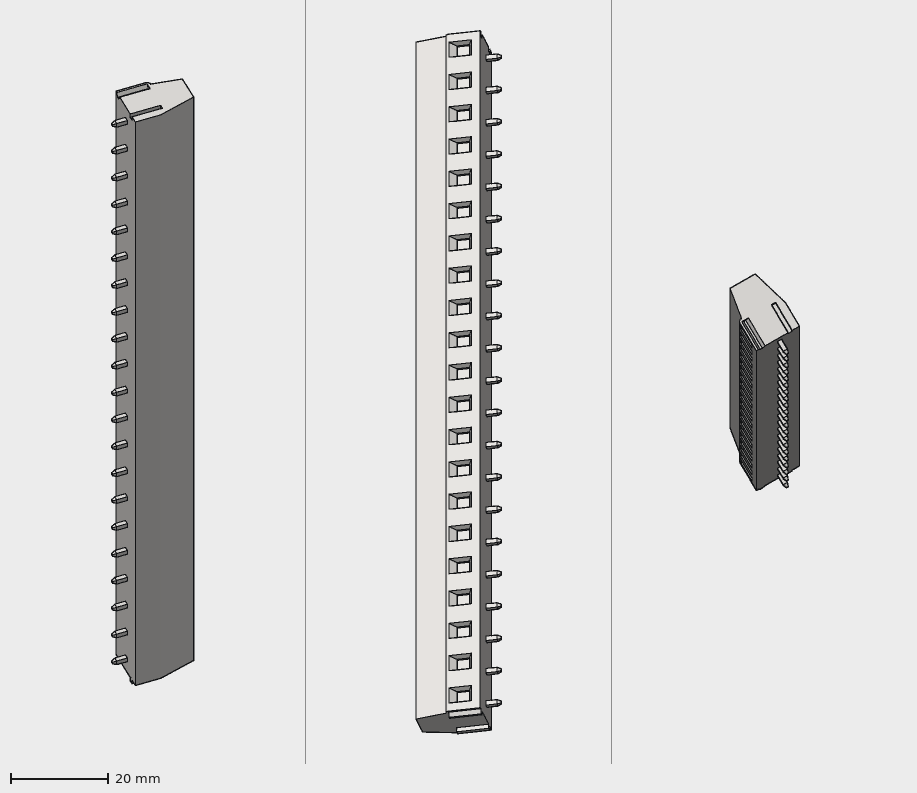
import cadquery as cq
import math


total_length = 158.1
rib_height = 1.0
body_length = total_length - rib_height
width = 10.3
depth = 14.0
back_left = 1.9
back_right = 7.9
right_side_depth = 5.7
entry_side_depth = 7.5
ledge_radius = 0.8

pole_count = 21
end_margin = 3.6
pitch = (body_length - 2 * end_margin) / (pole_count - 1)

entry_height = 3.5
entry_front = 1.9
entry_back = 6.6
pocket_height = 2.5
pocket_front = 2.5
pocket_back = 5.2
funnel_depth = 1.1
pocket_depth = 1.6

pin_x = 5.5
pin_size = 1.03
pin_tip_size = 0.5
pin_length = 3.2
pin_tip_length = 0.8
pin_root = 0.8

rib_length = 6.8
wedge_base_start = 0.5
wedge_base_end = 2.0
wedge_tip_start = 1.0
wedge_tip_end = 1.5
bar_start = 7.6
bar_width = 1.0


def make_body():
    arc_inset = ledge_radius * (1 - math.sqrt(0.5))
    return (
        cq.Workplane("XY")
        .moveTo(0, 0)
        .lineTo(width, 0)
        .lineTo(width, right_side_depth)
        .lineTo(back_right, depth)
        .lineTo(back_left, depth)
        .lineTo(ledge_radius, entry_side_depth)
        .threePointArc(
            (arc_inset, entry_side_depth - arc_inset),
            (0, entry_side_depth - ledge_radius),
        )
        .close()
        .extrude(body_length)
    )


def make_interlocks(base_z):
    """Tapered rib and straight bar hanging below the plane Z = base_z."""
    tip_z = base_z - rib_height
    wedge_outline = [
        (wedge_base_start, base_z),
        (wedge_base_end, base_z),
        (wedge_tip_end, tip_z),
        (wedge_tip_start, tip_z),
    ]
    wedge = cq.Workplane("XZ").polyline(wedge_outline).close().extrude(-rib_length)
    bar = cq.Workplane("XY").box(bar_width, rib_length, rib_height, centered=False)
    return wedge.union(bar.translate((bar_start, 0, tip_z)))


def make_entry(z):
    entry_y = (entry_front + entry_back) / 2
    pocket_y = (pocket_front + pocket_back) / 2
    funnel = (
        cq.Workplane("YZ")
        .center(entry_y, z)
        .rect(entry_back - entry_front, entry_height)
        .workplane(offset=funnel_depth)
        .center(pocket_y - entry_y, 0)
        .rect(pocket_back - pocket_front, pocket_height)
        .loft(ruled=True)
    )
    pocket = (
        cq.Workplane("YZ")
        .center(pocket_y, z)
        .rect(pocket_back - pocket_front, pocket_height)
        .extrude(pocket_depth)
    )
    return funnel.union(pocket)


def make_pin(z):
    shank_length = pin_length - pin_tip_length
    shank = (
        cq.Workplane("XZ", origin=(pin_x, pin_root, z))
        .rect(pin_size, pin_size)
        .extrude(pin_root + shank_length)
    )
    tip = (
        cq.Workplane("XZ", origin=(pin_x, -shank_length, z))
        .rect(pin_size, pin_size)
        .workplane(offset=pin_tip_length)
        .rect(pin_tip_size, pin_tip_size)
        .loft(ruled=True)
    )
    return shank.union(tip)


result = make_body().cut(make_interlocks(body_length)).union(make_interlocks(0))
for pole in range(pole_count):
    pole_z = end_margin + pole * pitch
    result = result.cut(make_entry(pole_z)).union(make_pin(pole_z))